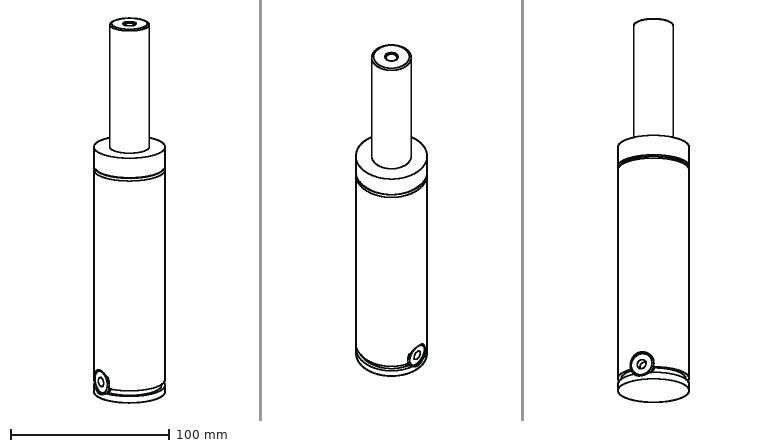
import cadquery as cq
import math

total_height = 245.0
body_height = 163.0
body_radius = 45.0 / 2
rod_radius = 25.0 / 2
rod_chamfer_width = 1.2
rod_chamfer_height = 0.7

base_flange_height = 4.5
base_groove_top = 8.0
base_groove_radius = body_radius - 2.2

cap_height = 13.0
cap_groove_width = 2.2
cap_groove_depth = 1.0
cap_groove_ramp_height = 1.5

rod_hole_radius = 6.9 / 2
rod_hole_depth = 14.7
rod_hole_chamfer = 0.7
drill_tip_angle = 118.0

port_height = 10.5
port_radius = 16.0 / 2
port_face_radius = 14.0 / 2
port_face_y = -body_radius + 0.7
port_chamfer = port_radius - port_face_radius
port_hole_radius = 6.0 / 2
port_hole_depth = 5.0
port_plug_length = 7.4


def make_cylinder_and_rod():
    """Revolve the half outline of the body and rod about Z."""
    cap_groove_top = body_height - cap_height
    cap_groove_bottom = cap_groove_top - cap_groove_width
    cap_groove_radius = body_radius - cap_groove_depth
    outline = [
        (0, 0),
        (body_radius, 0),
        (body_radius, base_flange_height),
        (base_groove_radius, base_flange_height),
        (base_groove_radius, base_groove_top),
        (body_radius, base_groove_top),
        (body_radius, cap_groove_bottom),
        (cap_groove_radius, cap_groove_bottom + cap_groove_ramp_height),
        (body_radius, cap_groove_top),
        (body_radius, body_height),
        (rod_radius, body_height),
        (rod_radius, total_height - rod_chamfer_height),
        (rod_radius - rod_chamfer_width, total_height),
        (0, total_height),
    ]
    return cq.Workplane("XZ").polyline(outline).close().revolve(360, (0, 0), (0, 1))


def make_rod_hole():
    """Drilled hole with a conical bottom and a chamfered mouth."""
    floor_height = total_height - rod_hole_depth
    tip_depth = rod_hole_radius / math.tan(math.radians(drill_tip_angle / 2))
    outline = [
        (0, floor_height - tip_depth),
        (rod_hole_radius, floor_height),
        (rod_hole_radius, total_height - rod_hole_chamfer),
        (rod_hole_radius + rod_hole_chamfer, total_height),
        (0, total_height),
    ]
    return cq.Workplane("XZ").polyline(outline).close().revolve(360, (0, 0), (0, 1))


def port_cylinder(radius, start_y, length):
    """Cylinder on the port axis, running inward from start_y."""
    plane = cq.Plane(origin=(0, start_y, port_height), xDir=(1, 0, 0), normal=(0, 1, 0))
    return cq.Workplane(plane).circle(radius).extrude(length)


def add_port(body):
    """Set a chamfered plug into a round pocket and drill its centre."""
    pocket = port_cylinder(port_radius, -body_radius, port_plug_length)
    plug = port_cylinder(port_radius, port_face_y, port_plug_length)
    plug = plug.faces("<Y").chamfer(port_chamfer)
    hole = port_cylinder(port_hole_radius, port_face_y, port_hole_depth)
    return body.cut(pocket).union(plug).cut(hole)


result = add_port(make_cylinder_and_rod().cut(make_rod_hole()))